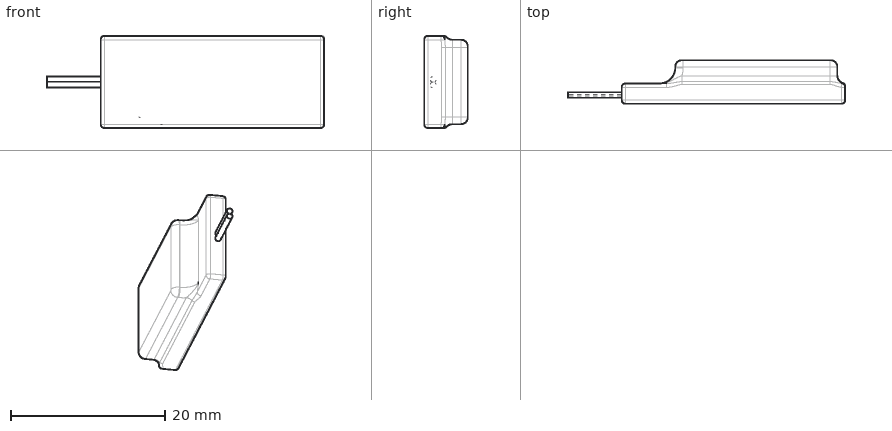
import cadquery as cq
import math

total_length = 36.0
total_depth = 5.7
body_length = 29.0
body_depth = 2.65
body_height = 12.0
edge_radius = 0.5

housing_start = 13.95
housing_end_inset = 1.0
housing_side_inset = 0.5
housing_radius = 1.0
housing_top_radius = 0.9
ramp_radius = 2.0
flare_radius = 1.0
root_depth = 1.08

tolerance = 0.018

margin = 3.6

wire_diameter = 0.75
wire_y = 1.15
wire_spacing = 0.72
wire_embed = 0.72

body_start = total_length - body_length
housing_end = total_length - housing_end_inset
housing_height = body_height - 2 * housing_side_inset


def make_housing():
    """Rounded housing whose -X end sweeps down onto the body in a concave arc."""
    ramp_foot = housing_start - ramp_radius
    ramp_top = body_depth + ramp_radius
    arc_offset = ramp_radius * math.sqrt(0.5)
    housing = (
        cq.Workplane("XY", origin=(0, 0, -housing_height / 2))
        .moveTo(ramp_foot, body_depth - root_depth)
        .lineTo(ramp_foot, body_depth)
        .threePointArc((ramp_foot + arc_offset, ramp_top - arc_offset), (housing_start, ramp_top))
        .lineTo(housing_start, total_depth)
        .lineTo(housing_end, total_depth)
        .lineTo(housing_end, body_depth - root_depth)
        .close()
        .extrude(housing_height)
    )
    ramp_corners = cq.selectors.BoxSelector(
        (ramp_foot + tolerance, body_depth + tolerance, -body_height),
        (housing_start + tolerance, total_depth - tolerance, body_height),
    )
    corner_edges = housing.edges(ramp_corners).edges("not |Z").add(housing.faces(">X").edges("|Y"))
    return corner_edges.fillet(housing_radius).faces(">Y").edges().fillet(housing_top_radius)


def make_block():
    """Body and housing, blended by a concave flare and trimmed to the body outline."""
    plate = cq.Workplane("XY", origin=(body_start - margin, 0, 0)).box(
        body_length + 2 * margin, body_depth, body_height + 2 * margin, centered=(False, False, True)
    )
    block = plate.union(make_housing())
    joint = cq.selectors.BoxSelector(
        (housing_start - ramp_radius + tolerance, body_depth - tolerance, -housing_height),
        (total_length, body_depth + tolerance, housing_height),
    )
    block = block.edges(joint).fillet(flare_radius)
    outline = cq.Workplane("XY", origin=(body_start, 0, 0)).box(
        body_length, total_depth, body_height, centered=(False, False, True)
    )
    return block.intersect(outline)


def make_wires():
    """Two lead wires, fused side by side, leaving the -X end of the body."""
    return (
        cq.Workplane("YZ")
        .pushPoints([(wire_y, wire_spacing / 2), (wire_y, -wire_spacing / 2)])
        .circle(wire_diameter / 2)
        .extrude(body_start + wire_embed)
    )


rounded_body = make_block().faces("<X or >X or <Z or >Z").edges().fillet(edge_radius)
result = rounded_body.union(make_wires())